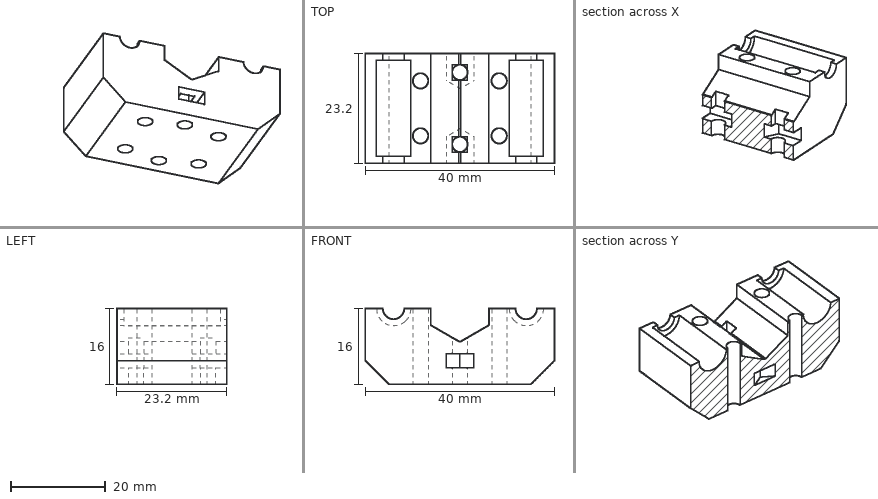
import cadquery as cq
import math

length = 40.0
width = 23.2
height = 16.0
bottom_chamfer = 5.0

channel_width = 12.25
channel_wall_depth = 3.5
channel_floor_width = 0.4
channel_angle = 30.0

groove_spacing = 28.0
groove_end_diameter = 4.5
groove_diameter = 7.2
groove_length = 20.3

hole_diameter = 3.2
hole_spacing_x = 16.6
hole_spacing_y = 11.6
channel_hole_spacing = 15.2

pocket_length_x = 3.1
pocket_length_y = 3.25

nut_across_flats = 5.85
nut_slot_bottom = 3.5
nut_slot_height = 3.0
hexagon_half_angle = math.radians(30)


def block():
    """Extruded profile with chamfered lower corners and the V channel."""
    half_length = length / 2
    half_channel = channel_width / 2
    half_floor = channel_floor_width / 2
    shoulder_z = height - channel_wall_depth
    slope_run = half_channel - half_floor
    floor_z = shoulder_z - slope_run * math.tan(math.radians(channel_angle))
    right_side = [
        (half_length - bottom_chamfer, 0),
        (half_length, bottom_chamfer),
        (half_length, height),
        (half_channel, height),
        (half_channel, shoulder_z),
        (half_floor, floor_z),
    ]
    left_side = [(-x, z) for x, z in reversed(right_side)]
    return (
        cq.Workplane("XZ", origin=(0, width / 2, 0))
        .polyline(right_side + left_side)
        .close()
        .extrude(width)
    )


def cylinder_along_y(x, diameter, cylinder_length):
    """Cylinder centred on Y with its axis on the top face."""
    return (
        cq.Workplane("XZ", origin=(x, cylinder_length / 2, height))
        .circle(diameter / 2)
        .extrude(cylinder_length)
    )


def groove(x):
    """Wide groove with narrower open ends."""
    narrow = cylinder_along_y(x, groove_end_diameter, width)
    wide = cylinder_along_y(x, groove_diameter, groove_length)
    return narrow.union(wide)


def through_holes():
    """Four holes beside the grooves and two along the channel."""
    corners = cq.Workplane("XY").rarray(hole_spacing_x, hole_spacing_y, 2, 2)
    channel = cq.Workplane("XY").rarray(0.4, channel_hole_spacing, 1, 2)
    radius = hole_diameter / 2
    return corners.circle(radius).extrude(height).union(channel.circle(radius).extrude(height))


def square_pockets():
    """Square openings from the channel down to the nut slots."""
    return (
        cq.Workplane("XY", origin=(0, 0, nut_slot_bottom))
        .rarray(0.4, channel_hole_spacing, 1, 2)
        .rect(pocket_length_x, pocket_length_y)
        .extrude(height - nut_slot_bottom)
    )


def nut_slot(side):
    """Slot from an end face (side -1 front, +1 rear) ending in a hexagon point."""
    half_flats = nut_across_flats / 2
    center_y = channel_hole_spacing / 2
    flat_end_y = center_y - half_flats * math.tan(hexagon_half_angle)
    tip_y = center_y - half_flats / math.cos(hexagon_half_angle)
    outline = [
        (-half_flats, side * width / 2),
        (-half_flats, side * flat_end_y),
        (0, side * tip_y),
        (half_flats, side * flat_end_y),
        (half_flats, side * width / 2),
    ]
    return (
        cq.Workplane("XY", origin=(0, 0, nut_slot_bottom))
        .polyline(outline)
        .close()
        .extrude(nut_slot_height)
    )


result = block().cut(through_holes()).cut(square_pockets())
for side in (-1, 1):
    result = result.cut(groove(side * groove_spacing / 2))
    result = result.cut(nut_slot(side))